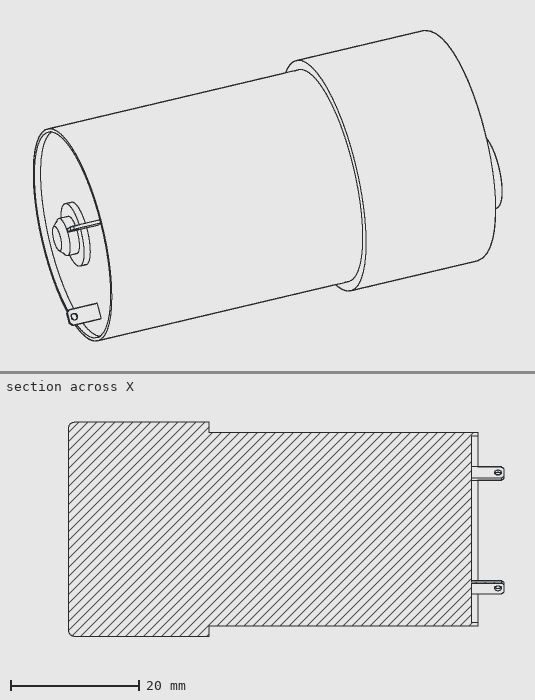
import cadquery as cq

total_length = 73.8

gearbox_diameter = 37.0
gearbox_length = 22.0
gearbox_fillet = 0.95
boss_diameter = 12.0
boss_length = 5.75
boss_fillet = 0.45
boss_drop = 6.7

can_diameter = 34.0
recess_diameter = 33.0
recess_depth = 1.0

hub_diameter = 10.0
shaft_diameter = 6.0
shaft_projection = 2.6
shaft_chamfer = 1.0

terminal_projection = 4.05
terminal_width = 2.5
terminal_thickness = 0.5
terminal_radius = 12.55
terminal_tip_chamfer = 0.45
terminal_hole_diameter = 1.0
terminal_hole_inset = 0.95
terminal_angles = (45, -45)

rear_tip = -total_length / 2
can_rear = rear_tip + terminal_projection
recess_floor = can_rear + recess_depth
boss_front = total_length / 2
gearbox_front = boss_front - boss_length
gearbox_rear = gearbox_front - gearbox_length


def cylinder(diameter, y_start, y_end, z=0):
    """Cylinder parallel to Y between two stations."""
    length = y_end - y_start
    base = cq.Workplane("XZ", origin=(0, y_start, z))
    return base.circle(diameter / 2).extrude(-length)


def make_gearbox():
    body = cylinder(gearbox_diameter, gearbox_rear, gearbox_front)
    body = body.faces(">Y").edges().fillet(gearbox_fillet)
    boss = cylinder(boss_diameter, gearbox_front, boss_front, -boss_drop)
    boss = boss.faces(">Y").edges().fillet(boss_fillet)
    return body.union(boss)


def make_motor_can():
    can = cylinder(can_diameter, can_rear, gearbox_rear)
    return can.cut(cylinder(recess_diameter, can_rear, recess_floor))


def make_rear_shaft():
    hub = cylinder(hub_diameter, can_rear, recess_floor)
    shaft = cylinder(shaft_diameter, can_rear - shaft_projection, recess_floor)
    shaft = shaft.faces("<Y").edges().chamfer(shaft_chamfer)
    return hub.union(shaft)


def make_terminal(angle):
    """Radial blade with one broad face on the radial plane at the given angle from +X."""
    length = recess_floor - rear_tip
    blade = cq.Workplane("XY").box(terminal_width, length, terminal_thickness)
    blade = blade.edges("|Z and <Y").chamfer(terminal_tip_chamfer)
    hole_y = terminal_hole_inset - length / 2
    hole = cq.Workplane("XY").center(0, hole_y).circle(terminal_hole_diameter / 2)
    blade = blade.cut(hole.extrude(terminal_thickness, both=True))
    blade = blade.translate((terminal_radius, rear_tip + length / 2, -terminal_thickness / 2))
    return blade.rotate((0, 0, 0), (0, 1, 0), -angle)


result = make_gearbox().union(make_motor_can()).union(make_rear_shaft())
for terminal_angle in terminal_angles:
    result = result.union(make_terminal(terminal_angle))